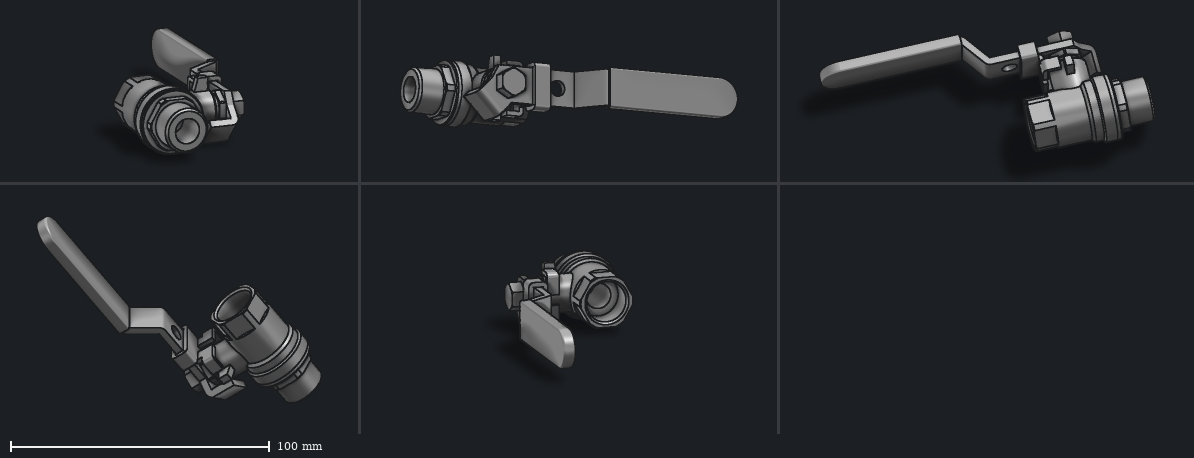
import cadquery as cq
import math


overall_length = 122.0

housing_start_x = -19.9
hex_end_x = -11.1
barrel_end_x = 2.2
shoulder_start_x = 3.5
collar_start_x = 6.8
collar_cone = 0.6
flange_start_x = 12.0
barrel_radius = 21.8 / 2
shoulder_radius = 12.0
collar_radius = 26.0 / 2
collar_edge = 0.5
hex_width = 20.0
hex_edge = 0.4
hex_runout = 0.5
hex_runout_depth = 0.2
bore_diameter = 10.0
thread_bore_radius = 16.0 / 2
thread_mouth_radius = 17.8 / 2
thread_depth = 11.0

neck_diameter = 15.0
neck_top_y = 21.1
neck_edge = 0.6
lug_width = 3.0
lug_reach = 25.5 / 2
lug_top_y = 19.6
lug_outer_low_y = 15.6
lug_inner_low_y = 14.2

flange_end_x = 13.9
tail_hex_end_x = 17.7
tail_end_x = 28.0
tail_radius = 17.8 / 2
tail_edge = 1.0

gland_hex_width = 12.0
gland_corner_diameter = 13.4
gland_skirt_diameter = 10.6
gland_hex_low_y = 22.9
nut_width = 10.0
nut_height = 5.1
nut_edge = 0.2
half_hex_angle = 30.0

sheet = 3.0
lever_low_y = 25.5
lever_top_y = lever_low_y + sheet
lever_half_width = 7.2
grip_lever_low_y = 37.0
grip_lever_top_y = grip_lever_low_y + sheet
crank_angle = 55.0
crank_low_x = -28.8
lock_hole_x = -21.6
lock_hole_diameter = 6.0

tab_angle = 45.0
tab_reach = 12.1
tab_width = 12.7
tab_low_y = 16.3
lever_corner_x = 4.0
lever_corner_angle = 61.0

grip_start_x = tail_end_x - overall_length
grip_end_x = -38.0
grip_half_width = 7.9
grip_wall_y = 1.04
grip_edge = 1.0

lock_sheet = 2.0
lock_start_x = -17.5
lock_end_x = -10.5
lock_leg_end_x = lock_end_x + lock_sheet
lock_half_width = 9.4
lock_low_y = 23.2
lock_top_y = 30.9
lock_leg_low_y = tab_low_y
lock_leg_shoulder_y = 21.2
lock_slot_half_width = 2.1
lock_leg_half_width = 7.2
lock_wing_reach = 10.9
lock_wing_end_x = -3.3


def turned(points):
    """Solid of revolution about the X axis from (x, radius) points."""
    return cq.Workplane("XY").polyline(points).close().revolve(360, (0, 0), (1, 0))


def bar_x(start, end):
    """Hexagonal bar along X with two flats facing up and down."""
    corner_to_corner = hex_width / math.cos(math.pi / 6)
    return cq.Workplane("YZ", origin=(start, 0, 0)).polygon(6, corner_to_corner).extrude(end - start)


def disc_y(diameter, low, high):
    """Cylinder on the stem axis."""
    return cq.Workplane("XZ", origin=(0, low, 0)).circle(diameter / 2).extrude(low - high)


def hexagon_y(width, low, high):
    """Hexagonal prism on the stem axis with two flats facing +X and -X."""
    prism = (
        cq.Workplane("XZ", origin=(0, low, 0))
        .polygon(6, width / math.cos(math.pi / 6))
        .extrude(low - high)
    )
    return prism.rotate((0, 0, 0), (0, 1, 0), half_hex_angle)


def make_lug(side):
    """Stop lug that reaches out from the neck along Z, with a sloped underside."""
    points = [
        (lug_top_y, 0),
        (lug_top_y, side * lug_reach),
        (lug_outer_low_y, side * lug_reach),
        (lug_inner_low_y, side * neck_diameter / 2),
        (lug_inner_low_y, 0),
    ]
    return cq.Workplane("YZ").polyline(points).close().extrude(lug_width / 2, both=True)


def make_housing():
    hex_end = turned([
        (housing_start_x, 0),
        (housing_start_x, barrel_radius - hex_edge),
        (housing_start_x + hex_edge, barrel_radius),
        (hex_end_x, barrel_radius),
        (hex_end_x, 0),
    ])
    runout = turned([
        (hex_end_x - hex_runout, 0),
        (hex_end_x - hex_runout, hex_width / 2 - hex_runout_depth),
        (hex_end_x, barrel_radius),
        (hex_end_x, 0),
    ])
    hex_end = hex_end.intersect(bar_x(housing_start_x, hex_end_x).union(runout))
    barrel = turned([
        (hex_end_x, 0),
        (hex_end_x, barrel_radius),
        (barrel_end_x, barrel_radius),
        (shoulder_start_x, shoulder_radius),
        (collar_start_x, shoulder_radius),
        (collar_start_x + collar_cone, collar_radius),
        (flange_start_x, collar_radius),
        (flange_start_x, 0),
    ])
    neck = disc_y(neck_diameter, 0, neck_top_y).faces(">Y").chamfer(neck_edge)
    housing = hex_end.union(barrel).union(neck)
    for side in (-1, 1):
        housing = housing.union(make_lug(side))
    mouth = thread_mouth_radius - thread_bore_radius
    bore = turned([
        (housing_start_x, 0),
        (housing_start_x, thread_mouth_radius),
        (housing_start_x + mouth, thread_bore_radius),
        (housing_start_x + thread_depth, thread_bore_radius),
        (housing_start_x + thread_depth, bore_diameter / 2),
        (flange_start_x, bore_diameter / 2),
        (flange_start_x, 0),
    ])
    return housing.cut(bore)


def make_tail():
    flange = turned([
        (flange_start_x, 0),
        (flange_start_x, collar_radius),
        (flange_end_x - collar_edge, collar_radius),
        (flange_end_x, collar_radius - collar_edge),
        (flange_end_x, 0),
    ])
    hex_part = turned([
        (flange_end_x, 0),
        (flange_end_x, barrel_radius),
        (tail_hex_end_x - hex_edge, barrel_radius),
        (tail_hex_end_x, barrel_radius - hex_edge),
        (tail_hex_end_x, 0),
    ]).intersect(bar_x(flange_end_x, tail_hex_end_x))
    spigot = turned([
        (tail_hex_end_x, 0),
        (tail_hex_end_x, tail_radius),
        (tail_end_x - tail_edge, tail_radius),
        (tail_end_x, tail_radius - tail_edge),
        (tail_end_x, 0),
    ])
    tail = flange.union(hex_part).union(spigot)
    return tail.faces(">X").workplane(centerOption="CenterOfBoundBox").hole(bore_diameter)


def make_gland():
    head = hexagon_y(gland_hex_width, gland_hex_low_y, lever_low_y)
    head = head.intersect(disc_y(gland_corner_diameter, gland_hex_low_y, lever_low_y))
    return head.union(disc_y(gland_skirt_diameter, neck_top_y, gland_hex_low_y))


def make_nut():
    top = lever_top_y + nut_height
    corner_diameter = nut_width / math.cos(math.pi / 6)
    rounding = disc_y(corner_diameter, lever_top_y, top).faces(">Y").chamfer(nut_edge, 2 * nut_edge)
    return hexagon_y(nut_width, lever_top_y, top).intersect(rounding)


def bend_points(x, y, side, slope):
    """Middle and end of the outer arc of a bend around its inner corner (x, y); side is 1 for above."""
    return [
        (x + side * sheet * math.sin(angle), y + side * sheet * math.cos(angle))
        for angle in (slope / 2, slope)
    ]


def make_lever_strip():
    """Cranked strip from the round grip end to the lock hole, rounded outside each bend."""
    slope = math.radians(crank_angle)
    rise = grip_lever_low_y - lever_top_y
    crank_high_x = crank_low_x - (rise + sheet / math.cos(slope)) / math.tan(slope)
    high_middle, high_end = bend_points(crank_high_x, grip_lever_low_y, 1, slope)
    low_middle, low_end = bend_points(crank_low_x, lever_top_y, -1, slope)
    grip_centre_x = grip_start_x + grip_half_width

    strip = (
        cq.Workplane("XY")
        .moveTo(grip_centre_x, grip_lever_low_y)
        .lineTo(grip_centre_x, grip_lever_top_y)
        .lineTo(crank_high_x, grip_lever_top_y)
        .threePointArc(high_middle, high_end)
        .lineTo(crank_low_x, lever_top_y)
        .lineTo(lock_hole_x, lever_top_y)
        .lineTo(lock_hole_x, lever_low_y)
        .lineTo(crank_low_x, lever_low_y)
        .threePointArc(low_middle, low_end)
        .lineTo(crank_high_x, grip_lever_low_y)
        .close()
        .extrude(lever_half_width, both=True)
    )
    rounded_end = (
        cq.Workplane("XZ", origin=(grip_centre_x, grip_lever_low_y, 0))
        .circle(lever_half_width)
        .extrude(-sheet)
    )
    return strip.union(rounded_end)


def make_lever_plate():
    """Flat part over the stem, with its far side cut square to the tab direction."""
    corner_run = lever_half_width - lever_corner_x
    corner_z = lever_half_width - corner_run * math.tan(math.radians(lever_corner_angle))
    plate_points = [
        (lock_hole_x, -lever_half_width),
        (lock_hole_x, lever_half_width),
        (lever_corner_x, lever_half_width),
        (lever_half_width, corner_z),
        (-corner_z, -lever_half_width),
    ]
    return cq.Workplane("XZ", origin=(0, lever_low_y, 0)).polyline(plate_points).close().extrude(-sheet)


def make_lever_tab():
    """Stop tab bent down from the lever end, set at an angle between +X and -Z."""
    corner = sheet * math.sqrt(0.5)
    return (
        cq.Workplane("XY")
        .moveTo(0, lever_low_y)
        .lineTo(0, lever_top_y)
        .lineTo(tab_reach - sheet, lever_top_y)
        .threePointArc((tab_reach - sheet + corner, lever_low_y + corner), (tab_reach, lever_low_y))
        .lineTo(tab_reach, tab_low_y)
        .lineTo(tab_reach - sheet, tab_low_y)
        .lineTo(tab_reach - sheet, lever_low_y)
        .close()
        .extrude(tab_width / 2, both=True)
        .rotate((0, 0, 0), (0, 1, 0), tab_angle)
    )


def make_lever():
    hole = (
        cq.Workplane("XZ", origin=(lock_hole_x, lever_low_y, 0))
        .circle(lock_hole_diameter / 2)
        .extrude(-sheet)
    )
    return make_lever_strip().union(make_lever_plate()).union(make_lever_tab()).cut(hole)


def make_grip(lever):
    """Sleeve over the lever, round at its outer end; the lever fills its pocket."""
    low_y = grip_lever_low_y - grip_wall_y
    height = sheet + 2 * grip_wall_y
    straight_x = grip_start_x + grip_half_width
    grip = (
        cq.Workplane("XZ", origin=(0, low_y, 0))
        .moveTo(grip_end_x, -grip_half_width)
        .lineTo(grip_end_x, grip_half_width)
        .lineTo(straight_x, grip_half_width)
        .threePointArc((grip_start_x, 0), (straight_x, -grip_half_width))
        .close()
        .extrude(-height)
    )
    rims = grip.faces("<Y or >Y").edges("not >X")
    return rims.fillet(grip_edge).cut(lever)


def centred_block(start_x, end_x, low_y, high_y, half_width):
    """Block between two X and two Y positions, centred on Z = 0."""
    block = cq.Workplane("XY").box(
        end_x - start_x, high_y - low_y, 2 * half_width, centered=(False, False, True)
    )
    return block.translate((start_x, low_y, 0))


def make_lock_loop():
    """Closed loop around the lever, rounded outside and square inside."""
    outside = centred_block(lock_start_x, lock_end_x, lock_low_y, lock_top_y, lock_half_width)
    opening = centred_block(
        lock_start_x,
        lock_end_x,
        lock_low_y + lock_sheet,
        lock_top_y - lock_sheet,
        lock_half_width - lock_sheet,
    )
    return outside.edges("|X").fillet(lock_sheet).cut(opening)


def make_lock_leg():
    """Leg bent down from the lower wall of the loop."""
    corner = lock_sheet * math.sqrt(0.5)
    return (
        cq.Workplane("XY")
        .moveTo(lock_end_x, lock_low_y + lock_sheet)
        .threePointArc((lock_end_x + corner, lock_low_y + corner), (lock_leg_end_x, lock_low_y))
        .lineTo(lock_leg_end_x, lock_leg_low_y)
        .lineTo(lock_end_x, lock_leg_low_y)
        .close()
        .extrude(lock_leg_half_width, both=True)
    )


def make_lock_wings():
    """Wide foot of the leg, bent round on both sides towards the stop lugs."""
    outside = centred_block(
        lock_end_x, lock_wing_end_x, lock_leg_low_y, lock_leg_shoulder_y, lock_wing_reach
    )
    inside = centred_block(
        lock_leg_end_x, lock_wing_end_x, lock_leg_low_y, lock_leg_shoulder_y, lock_wing_reach - lock_sheet
    )
    return outside.edges("|Y and <X").fillet(lock_sheet).cut(inside)


def make_lock():
    slot = centred_block(lock_end_x, lock_leg_end_x, lock_leg_low_y, lock_low_y, lock_slot_half_width)
    return make_lock_loop().union(make_lock_leg()).union(make_lock_wings()).cut(slot)


housing = make_housing()
tail = make_tail()
gland = make_gland()
nut = make_nut()
lever = make_lever()
grip = make_grip(lever)
lock = make_lock()

result = cq.Compound.makeCompound([
    housing.val(),
    tail.val(),
    gland.val(),
    nut.val(),
    lever.val(),
    grip.val(),
    lock.val(),
])